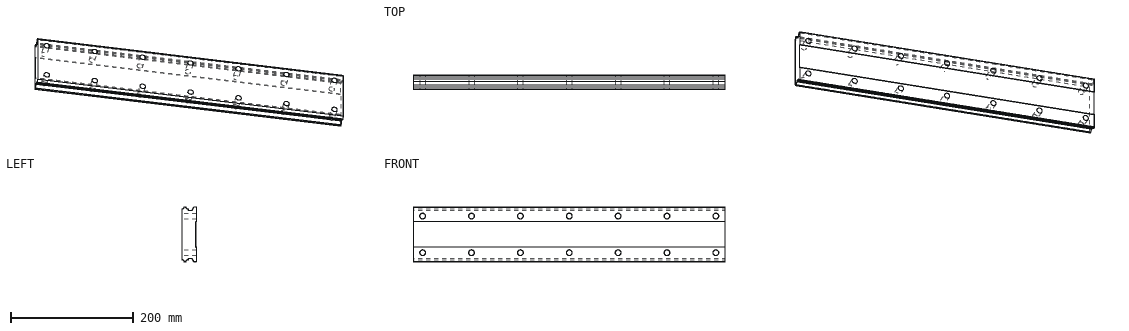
import cadquery as cq
import math

LENGTH = 510.0
THICKNESS = 24.0
HEIGHT = 90.0
HALF_THICKNESS = THICKNESS / 2
HALF_HEIGHT = HEIGHT / 2

FRONT_CHAMFER = 1.0
GROOVE_DEPTH = 5.5
GROOVE_WALL_ANGLE = 60.0
GROOVE_FLOOR_FRONT_Y = -4.3
GROOVE_FLOOR_BACK_Y = 1.3
GROOVE_FLOOR_Z = HALF_HEIGHT - GROOVE_DEPTH
LIP_BACK_Y = GROOVE_FLOOR_FRONT_Y - GROOVE_DEPTH / math.tan(math.radians(GROOVE_WALL_ANGLE))

RACEWAY_RADIUS = 3.5
RIB_THICKNESS = 3.0
RIB_BACK_Y = HALF_THICKNESS - RACEWAY_RADIUS
RIB_FRONT_Y = RIB_BACK_Y - RIB_THICKNESS
SHELF_BACK_Y = RIB_FRONT_Y - RACEWAY_RADIUS
SHELF_Z = HALF_HEIGHT - RACEWAY_RADIUS
RACEWAY_MID_OFFSET = RACEWAY_RADIUS / math.sqrt(2)

RELIEF_HEIGHT = 42.0
RELIEF_DEPTH = 1.2

HOLE_DIAMETER = 9.0
HOLE_PITCH = 80.0
HOLES_PER_ROW = 7
HOLE_ROWS = 2
ROW_SPACING = 60.0


def upper_half():
    """Upper half of the bar, its cross-section drawn from the front to the back."""
    raceway_mid_z = HALF_HEIGHT - RACEWAY_MID_OFFSET
    return (
        cq.Workplane("YZ")
        .moveTo(-HALF_THICKNESS, 0)
        .lineTo(-HALF_THICKNESS, HALF_HEIGHT - FRONT_CHAMFER)
        .lineTo(-HALF_THICKNESS + FRONT_CHAMFER, HALF_HEIGHT)
        .lineTo(LIP_BACK_Y, HALF_HEIGHT)
        .lineTo(GROOVE_FLOOR_FRONT_Y, GROOVE_FLOOR_Z)
        .lineTo(GROOVE_FLOOR_BACK_Y, GROOVE_FLOOR_Z)
        .lineTo(GROOVE_FLOOR_BACK_Y, SHELF_Z)
        .lineTo(SHELF_BACK_Y, SHELF_Z)
        .threePointArc((SHELF_BACK_Y + RACEWAY_MID_OFFSET, raceway_mid_z), (RIB_FRONT_Y, HALF_HEIGHT))
        .lineTo(RIB_BACK_Y, HALF_HEIGHT)
        .threePointArc((HALF_THICKNESS - RACEWAY_MID_OFFSET, raceway_mid_z), (HALF_THICKNESS, SHELF_Z))
        .lineTo(HALF_THICKNESS, 0)
        .close()
        .extrude(LENGTH / 2, both=True)
    )


def bar():
    """Grooved bar, symmetric about the horizontal mid plane."""
    upper = upper_half()
    return upper.union(upper.mirror("XY")).clean()


def front_relief():
    """Shallow full-length channel cut in the front face."""
    center_y = -HALF_THICKNESS + RELIEF_DEPTH / 2
    return cq.Workplane("XY").box(LENGTH, RELIEF_DEPTH, RELIEF_HEIGHT).translate((0, center_y, 0))


def mounting_holes():
    """Cylinders for both rows of through holes."""
    return (
        cq.Workplane("XZ")
        .rarray(HOLE_PITCH, ROW_SPACING, HOLES_PER_ROW, HOLE_ROWS)
        .circle(HOLE_DIAMETER / 2)
        .extrude(THICKNESS, both=True)
    )


result = bar().cut(front_relief()).cut(mounting_holes())